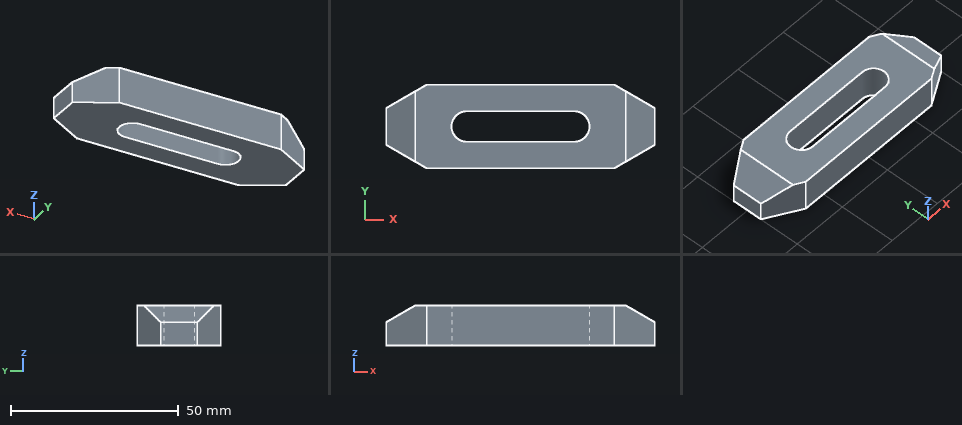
import cadquery as cq
import math

length = 80.0
width = 25.0
height = 12.0

taper_angle = math.radians(30.0)
nose_width = 11.0
nose_height = 7.0

slot_length = 41.0
slot_width = 9.0

side_taper_length = (width - nose_width) / 2 / math.tan(taper_angle)
top_slope_length = (height - nose_height) / math.tan(taper_angle)


def tapered_bar():
    """Bar with an eight-sided plan outline, resting on Z = 0."""
    end_x = length / 2
    shoulder_x = end_x - side_taper_length
    side_y = width / 2
    nose_y = nose_width / 2
    outline = [
        (-end_x, -nose_y),
        (-shoulder_x, -side_y),
        (shoulder_x, -side_y),
        (end_x, -nose_y),
        (end_x, nose_y),
        (shoulder_x, side_y),
        (-shoulder_x, side_y),
        (-end_x, nose_y),
    ]
    return cq.Workplane("XY").polyline(outline).close().extrude(height)


def end_wedge(side):
    """Material above the sloping top at one end; side is -1 or +1 along X."""
    end_x = side * length / 2
    slope_top_x = side * (length / 2 - top_slope_length)
    profile = [(end_x, nose_height), (end_x, height), (slope_top_x, height)]
    return cq.Workplane("XZ").polyline(profile).close().extrude(width / 2, both=True)


def slot_cutter():
    """Round-ended slot along X, through the full height."""
    return cq.Workplane("XY").slot2D(slot_length, slot_width).extrude(height)


result = tapered_bar()
for side in (-1, 1):
    result = result.cut(end_wedge(side))
result = result.cut(slot_cutter())